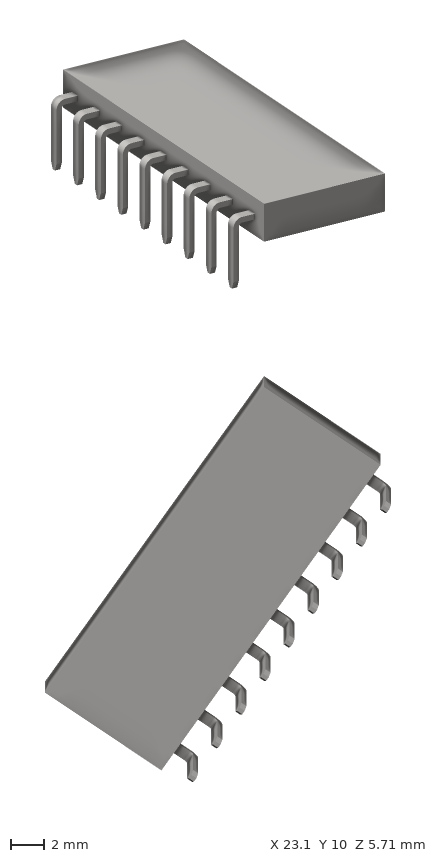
import cadquery as cq

BODY_LENGTH = 23.1
BODY_DEPTH = 8.5
BODY_HEIGHT = 2.5

PIN_COUNT = 9
PIN_PITCH = 2.55
PIN_WIDTH = 0.65
PIN_THICKNESS = 0.37
PIN_OVERHANG = 1.5
PIN_DROP = 3.21
BEND_INNER_RADIUS = 0.23
TIP_HEIGHT = 0.5
TIP_WIDTH = 0.25
PIN_EMBED = 0.23

PIN_TOP = (BODY_HEIGHT + PIN_THICKNESS) / 2
TIP_Z = -PIN_DROP
BEND_OUTER_RADIUS = BEND_INNER_RADIUS + PIN_THICKNESS


def make_body():
    return cq.Workplane("XY").box(
        BODY_LENGTH, BODY_DEPTH, BODY_HEIGHT, centered=(True, False, False)
    )


def make_bent_strip():
    """L-shaped strip, centred on X = 0, with a rounded bend."""
    leg_inner_y = PIN_THICKNESS - PIN_OVERHANG
    strip = (
        cq.Workplane("YZ")
        .moveTo(PIN_EMBED, PIN_TOP)
        .lineTo(-PIN_OVERHANG + BEND_OUTER_RADIUS, PIN_TOP)
        .radiusArc((-PIN_OVERHANG, PIN_TOP - BEND_OUTER_RADIUS), -BEND_OUTER_RADIUS)
        .lineTo(-PIN_OVERHANG, TIP_Z)
        .lineTo(leg_inner_y, TIP_Z)
        .lineTo(leg_inner_y, PIN_TOP - BEND_OUTER_RADIUS)
        .radiusArc((leg_inner_y + BEND_INNER_RADIUS, PIN_TOP - PIN_THICKNESS), BEND_INNER_RADIUS)
        .lineTo(PIN_EMBED, PIN_TOP - PIN_THICKNESS)
        .close()
    )
    return strip.extrude(PIN_WIDTH / 2, both=True)


def make_pin():
    """Bent strip whose lower end narrows to a blunt tip."""
    half_width = PIN_WIDTH / 2
    half_tip = TIP_WIDTH / 2
    face_outline = (
        cq.Workplane("XZ", origin=(0, PIN_EMBED, 0))
        .polyline([
            (-half_width, PIN_TOP),
            (-half_width, TIP_Z + TIP_HEIGHT),
            (-half_tip, TIP_Z),
            (half_tip, TIP_Z),
            (half_width, TIP_Z + TIP_HEIGHT),
            (half_width, PIN_TOP),
        ])
        .close()
        .extrude(PIN_EMBED + PIN_OVERHANG)
    )
    return make_bent_strip().intersect(face_outline)


pin = make_pin()
result = make_body()
for index in range(PIN_COUNT):
    pin_x = (index - (PIN_COUNT - 1) / 2) * PIN_PITCH
    result = result.union(pin.translate((pin_x, 0, 0)))